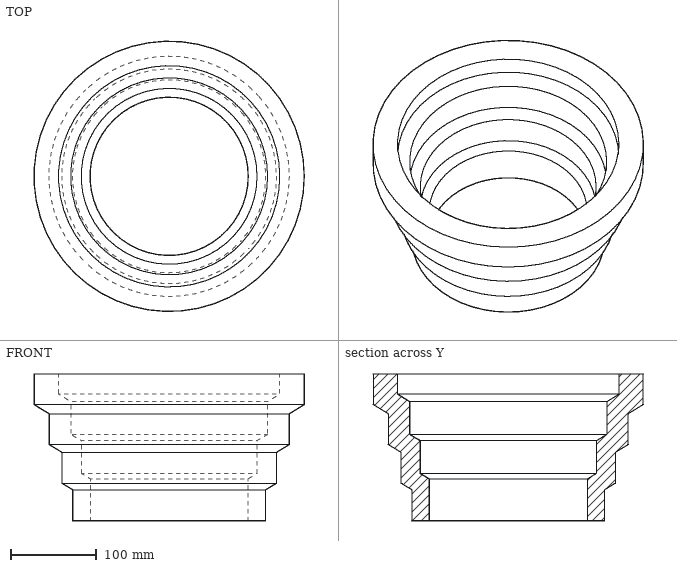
import cadquery as cq

outer_diameters = [315.0, 280.0, 250.0, 225.0]
bore_diameters = [257.7, 229.3, 204.8, 184.0]
total_height = 171.0
outer_section_height = 36.0
bore_top_section_height = 23.5
bore_middle_section_height = 38.0

outer_shoulders_height = total_height - len(outer_diameters) * outer_section_height
outer_radius_change = (outer_diameters[0] - outer_diameters[-1]) / 2
shoulder_slope = outer_shoulders_height / outer_radius_change


def wall_points(diameters, upper_section_heights):
    """Stepped wall from top to bottom, as (radius, height); the last section reaches the base."""
    height = total_height
    points = [(diameters[0] / 2, height)]
    for upper, lower, section_height in zip(diameters, diameters[1:], upper_section_heights):
        height -= section_height
        points.append((upper / 2, height))
        height -= (upper - lower) / 2 * shoulder_slope
        points.append((lower / 2, height))
    points.append((diameters[-1] / 2, 0))
    return points


outer_wall = wall_points(outer_diameters, [outer_section_height] * 3)
bore_wall = wall_points(
    bore_diameters,
    [bore_top_section_height, bore_middle_section_height, bore_middle_section_height],
)

profile = outer_wall + bore_wall[::-1]
result = cq.Workplane("XZ").polyline(profile).close().revolve(360, (0, 0, 0), (0, 1, 0))